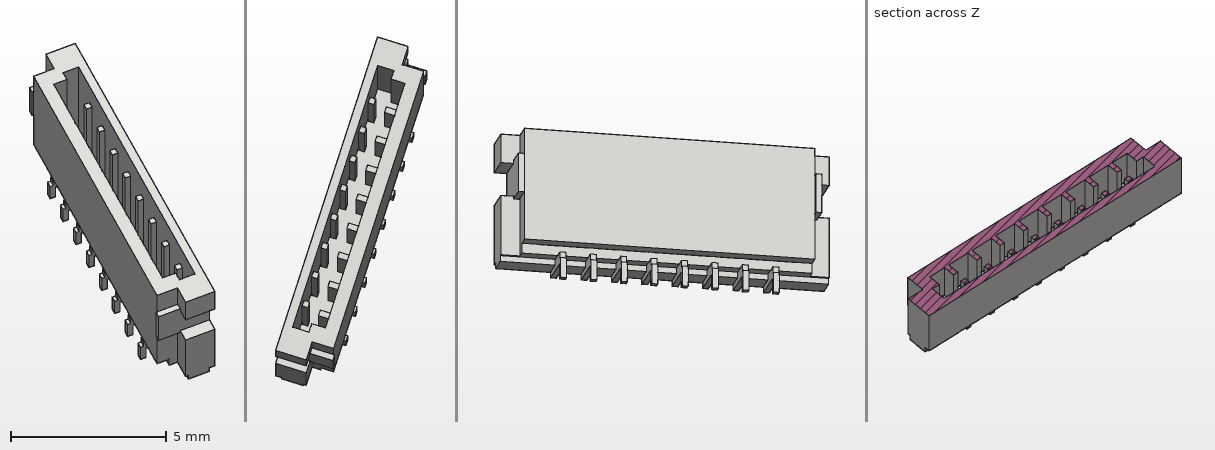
import cadquery as cq


LENGTH = 10.8
DEPTH = 1.8
HEIGHT = 5.0

HOUSING_BOTTOM = 0.9
FLANGE_DEPTH = 1.04
SHELL_INSET = 0.63
SHELL_DEPTH = 1.76
UNDERCUT_DEPTH = 1.33
UNDERCUT_TOP = 1.23
SHELL_LENGTH = LENGTH - 2 * SHELL_INSET

RAIL_BACK = 0.19
RAIL_FRONT = 0.94
RAIL_BOTTOM = 0.7

CAVITY_BACK = 0.29
CAVITY_STEP = 0.84
CAVITY_FRONT = 1.31
CAVITY_WIDE_INSET = 0.9
CAVITY_NARROW_INSET = 1.19
CAVITY_WIDE = LENGTH - 2 * CAVITY_WIDE_INSET
CAVITY_NARROW = LENGTH - 2 * CAVITY_NARROW_INSET
CAVITY_FLOOR = UNDERCUT_TOP

METAL_THICKNESS = 0.19
CLIP_INSET = 0.41
CLIP_BOTTOM = 2.82
CLIP_TOP = 4.13
CLIP_OVERLAP = 0.1
NOTCH_BOTTOM = CLIP_BOTTOM + CLIP_OVERLAP
NOTCH_TOP = CLIP_TOP - CLIP_OVERLAP

CONTACT_COUNT = 8
CONTACT_ROW_LENGTH = 7.0
CONTACT_PITCH = CONTACT_ROW_LENGTH / (CONTACT_COUNT - 1)
CONTACT_WIDTH = METAL_THICKNESS
PIN_BACK = 0.32
PIN_FRONT = PIN_BACK + METAL_THICKNESS
PIN_TOP = 4.2
SPRING_BACK = 0.87
SPRING_TOP = 3.46
FOOT_BACK = 0.23
FOOT_BOTTOM = RAIL_BOTTOM - METAL_THICKNESS
SHOULDER_FRONT = 1.7
LEAD_BACK = DEPTH - METAL_THICKNESS
LEAD_TOP = 0.67


def block(x_range, depth_range, z_range):
    """Box between two X values, two depths forward of the back face and two heights."""
    x0, x1 = x_range
    back, front = depth_range
    z0, z1 = z_range
    return cq.Workplane("XY").box(x1 - x0, front - back, z1 - z0, centered=False).translate((x0, -front, z0))


def centred_block(length, depth_range, z_range):
    return block((-length / 2, length / 2), depth_range, z_range)


def make_housing():
    flange = centred_block(LENGTH, (0, FLANGE_DEPTH), (HOUSING_BOTTOM, HEIGHT))
    shell = centred_block(SHELL_LENGTH, (0, SHELL_DEPTH), (UNDERCUT_TOP, HEIGHT))
    shell_foot = centred_block(SHELL_LENGTH, (0, UNDERCUT_DEPTH), (HOUSING_BOTTOM, UNDERCUT_TOP))
    rail = centred_block(LENGTH, (RAIL_BACK, RAIL_FRONT), (RAIL_BOTTOM, HOUSING_BOTTOM))
    housing = flange.union(shell).union(shell_foot).union(rail)

    cavity_heights = (CAVITY_FLOOR, HEIGHT)
    wide_cavity = centred_block(CAVITY_WIDE, (CAVITY_BACK, CAVITY_STEP), cavity_heights)
    narrow_cavity = centred_block(CAVITY_NARROW, (CAVITY_BACK, CAVITY_FRONT), cavity_heights)
    housing = housing.cut(wide_cavity).cut(narrow_cavity)

    end = LENGTH / 2
    notch = block((-end, -end + CLIP_INSET), (0, FLANGE_DEPTH), (NOTCH_BOTTOM, NOTCH_TOP))
    return housing.cut(notch).cut(notch.mirror("YZ"))


def make_left_clip():
    outer_face = -LENGTH / 2 + CLIP_INSET
    return block((outer_face, outer_face + METAL_THICKNESS), (0, DEPTH), (CLIP_BOTTOM, CLIP_TOP))


def make_contact(x):
    """Pin and spring standing in the cavity, joined by a foot that bends down into the lead."""
    width_range = (x - CONTACT_WIDTH / 2, x + CONTACT_WIDTH / 2)
    pin = block(width_range, (PIN_BACK, PIN_FRONT), (FOOT_BOTTOM, PIN_TOP))
    spring = block(width_range, (SPRING_BACK, CAVITY_FRONT), (FOOT_BOTTOM, SPRING_TOP))
    foot = block(width_range, (FOOT_BACK, LEAD_BACK), (FOOT_BOTTOM, RAIL_BOTTOM))
    shoulder = block(width_range, (SPRING_BACK, SHOULDER_FRONT), (FOOT_BOTTOM, HOUSING_BOTTOM))
    lead = block(width_range, (LEAD_BACK, DEPTH), (0, LEAD_TOP))
    return pin.union(spring).union(foot).union(shoulder).union(lead)


left_clip = make_left_clip()
result = make_housing().union(left_clip).union(left_clip.mirror("YZ"))
for index in range(CONTACT_COUNT):
    contact_x = -CONTACT_ROW_LENGTH / 2 + index * CONTACT_PITCH
    result = result.union(make_contact(contact_x))